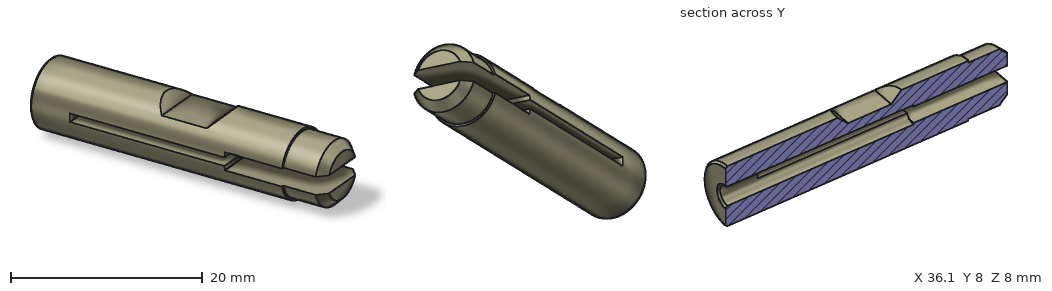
import cadquery as cq

body_diameter = 8.0
nose_diameter = 7.5
total_length = 36.15
nose_length = 5.0
nose_chamfer = 1.0
rear_chamfer = 0.25

bore_diameter = 2.5
bore_chamfer = 0.25

narrow_slot_height = 1.0
narrow_slot_start = 5.0
wide_slot_height = 2.1
wide_slot_start = 24.1

flat_height = 2.7
flat_start = 15.7
flat_length = 5.55

body_radius = body_diameter / 2
nose_radius = nose_diameter / 2
bore_radius = bore_diameter / 2
shoulder_x = total_length - nose_length


def make_body():
    """Revolve the stepped outline, with both end chamfers, about the X axis."""
    return (
        cq.Workplane("XY")
        .moveTo(0, 0)
        .lineTo(0, body_radius - rear_chamfer)
        .lineTo(rear_chamfer, body_radius)
        .lineTo(shoulder_x, body_radius)
        .lineTo(shoulder_x, nose_radius)
        .lineTo(total_length - nose_chamfer, nose_radius)
        .lineTo(total_length, nose_radius - nose_chamfer)
        .lineTo(total_length, 0)
        .close()
        .revolve(360, (0, 0, 0), (1, 0, 0))
    )


def make_bore():
    """Revolve the bore and its chamfered mouth about the X axis."""
    return (
        cq.Workplane("XY")
        .moveTo(0, 0)
        .lineTo(0, bore_radius + bore_chamfer)
        .lineTo(bore_chamfer, bore_radius)
        .lineTo(wide_slot_start, bore_radius)
        .lineTo(wide_slot_start, 0)
        .close()
        .revolve(360, (0, 0, 0), (1, 0, 0))
    )


def make_slot(start_x, height):
    """Slot of the given height, from start_x out through the nose end."""
    return (
        cq.Workplane("XY")
        .box(total_length - start_x, body_diameter, height, centered=(False, True, True))
        .translate((start_x, 0, 0))
    )


def make_flat_cut():
    """Trapezoidal prism that leaves the flat and its sloped end walls."""
    flat_end = flat_start + flat_length
    wall_run = body_radius - flat_height
    return (
        cq.Workplane("XZ")
        .moveTo(flat_start, flat_height)
        .lineTo(flat_end, flat_height)
        .lineTo(flat_end + wall_run, body_radius)
        .lineTo(flat_start - wall_run, body_radius)
        .close()
        .extrude(body_radius, both=True)
    )


result = (
    make_body()
    .cut(make_bore())
    .cut(make_slot(narrow_slot_start, narrow_slot_height))
    .cut(make_slot(wide_slot_start, wide_slot_height))
    .cut(make_flat_cut())
)